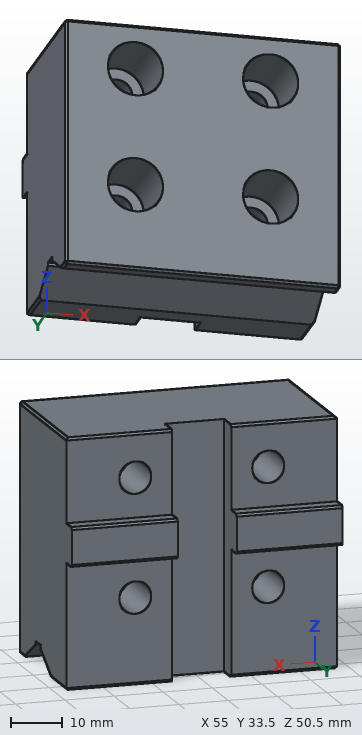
import cadquery as cq
import math

width = 55.0
height = 50.5
rib_projection = 3.5
body_depth = 33.5 - rib_projection
edge_chamfer = 0.5

rib_height = 8.0
rib_center_z = height - 21.0

slot_width = 12.0
slot_depth = 8.15

groove_center_y = 12.0
groove_mouth = 18.05
groove_depth = 5.0
groove_flank_angle = 30.0
relief_width = 3.0

hole_diameter = 6.5
counterbore_diameter = 11.0
counterbore_depth = body_depth / 2
hole_spacing_x = 27.0
hole_spacing_z = 24.0
top_hole_offset = 9.0


def make_body():
    """Block with every edge chamfered except the upright ones at the back."""
    block = cq.Workplane("XY").box(width, body_depth, height, centered=(True, False, False))
    return block.faces("<Y or >Z or <Z").edges().chamfer(edge_chamfer)


def make_rib():
    """Full-width rib, sunk into the body, with chamfered rear edges."""
    rib_length_y = rib_projection + edge_chamfer
    rib = cq.Workplane("XY").box(width, rib_length_y, rib_height)
    rib = rib.faces(">Y").edges("|X").chamfer(edge_chamfer)
    rib_center_y = body_depth + rib_projection - rib_length_y / 2
    return rib.translate((0, rib_center_y, rib_center_z))


def make_slot():
    slot = cq.Workplane("XY").box(slot_width, slot_depth, height, centered=(True, False, False))
    return slot.translate((0, body_depth + rib_projection - slot_depth, 0))


def make_groove():
    half_mouth = groove_mouth / 2
    half_relief = relief_width / 2
    flank_top_z = (half_mouth - half_relief) * math.tan(math.radians(groove_flank_angle))
    return (
        cq.Workplane("YZ")
        .center(groove_center_y, 0)
        .moveTo(-half_mouth, 0)
        .lineTo(-half_relief, flank_top_z)
        .lineTo(-half_relief, groove_depth)
        .lineTo(half_relief, groove_depth)
        .lineTo(half_relief, flank_top_z)
        .lineTo(half_mouth, 0)
        .close()
        .extrude(width / 2, both=True)
    )


def make_screw_holes():
    hole_pattern_center_z = height - top_hole_offset - hole_spacing_z / 2
    positions = (
        cq.Workplane("XZ")
        .center(0, hole_pattern_center_z)
        .rarray(hole_spacing_x, hole_spacing_z, 2, 2)
    )
    through_holes = positions.circle(hole_diameter / 2).extrude(-body_depth)
    counterbores = positions.circle(counterbore_diameter / 2).extrude(-counterbore_depth)
    return through_holes.union(counterbores)


result = (
    make_body()
    .union(make_rib())
    .cut(make_slot())
    .cut(make_groove())
    .cut(make_screw_holes())
)